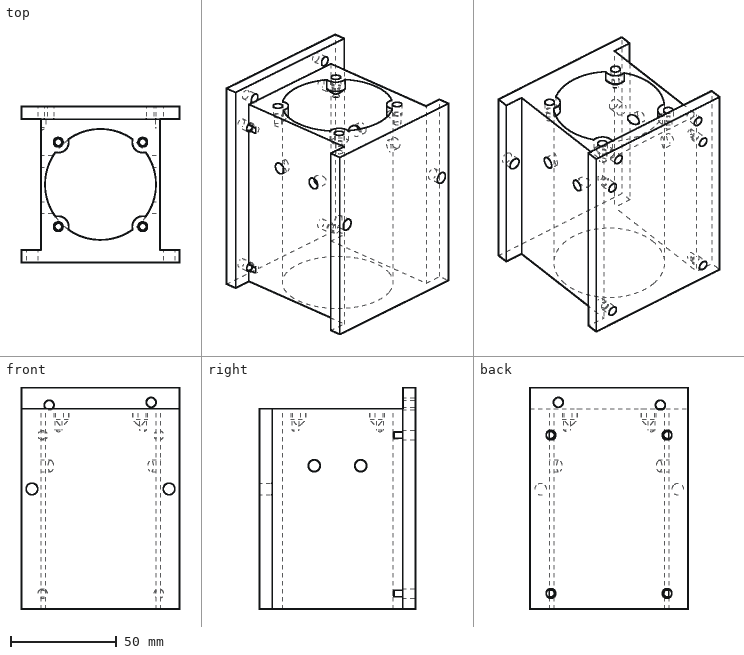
import cadquery as cq
import math

WIDTH = 75.0
DEPTH = 74.0
HEIGHT = 105.0

BORE_DIAMETER = 52.5
BOSS_DIAMETER = 10.0
BOSS_RADIUS = BOSS_DIAMETER / 2
BOSS_HEIGHT = 5.0
BOSS_SPACING = 40.0

PLATE_THICKNESS = 6.0
SIDE_WALL = 2.0
BLOCK_WIDTH = BORE_DIAMETER + 2 * SIDE_WALL
BLOCK_HEIGHT = 95.0
BLOCK_DEPTH = DEPTH - 2 * PLATE_THICKNESS
FRONT_FACE_Y = -DEPTH / 2
BLOCK_BACK_Y = DEPTH / 2 - PLATE_THICKNESS

TAP_DIAMETER = 3.3
DRILL_POINT_ANGLE = 118.0
BOSS_HOLE_DIAMETER = 4.5
BOSS_HOLE_DEPTH = BOSS_HEIGHT
BOSS_TAP_DEPTH = 10.0

CLEARANCE_DIAMETER = 4.5
BACK_SCREW_SPACING_X = 55.0
BACK_SCREW_HEIGHTS = (7.5, 82.5)
BACK_TAP_DEPTH = 4.0

BACK_MOUNT_DIAMETER = 4.5
BACK_MOUNT_POSITIONS = ((-24.35, 96.7), (24.0, 98.0))

FRONT_MOUNT_DIAMETER = 5.5
FRONT_MOUNT_SPACING = 65.0
FRONT_MOUNT_Z = 57.0

CROSS_HOLE_DIAMETER = 5.5
CROSS_HOLE_SPACING = 22.0
CROSS_HOLE_Z = 68.0

UP = cq.Vector(0, 0, 1)
DOWN = cq.Vector(0, 0, -1)
ALONG_X = cq.Vector(1, 0, 0)
FORWARD = cq.Vector(0, -1, 0)
BACKWARD = cq.Vector(0, 1, 0)


def cylinder(start, direction, diameter, length):
    """Cylinder that grows from a start point along a direction."""
    return cq.Workplane(cq.Solid.makeCylinder(diameter / 2, length, cq.Vector(*start), direction))


def drilled_hole(start, direction, diameter, depth):
    """Blind drilled hole: a straight part of the given depth and a conical tip."""
    radius = diameter / 2
    tip_height = radius / math.tan(math.radians(DRILL_POINT_ANGLE / 2))
    tip_base = cq.Vector(*start) + direction * depth
    tip = cq.Solid.makeCone(radius, 0, tip_height, tip_base, direction)
    return cylinder(start, direction, diameter, depth).union(cq.Workplane(tip))


def mirrored(spacing):
    """Two positions placed symmetrically about zero."""
    return (-spacing / 2, spacing / 2)


def standing_box(width, depth, height, center_y):
    """Box standing on Z = 0, centred on X = 0."""
    return cq.Workplane().box(width, depth, height, centered=(True, True, False)).translate((0, center_y, 0))


def make_body():
    """Block with a lower front plate and a taller back plate."""
    plate_center_y = (DEPTH - PLATE_THICKNESS) / 2
    block = standing_box(BLOCK_WIDTH, BLOCK_DEPTH, BLOCK_HEIGHT, 0)
    front_plate = standing_box(WIDTH, PLATE_THICKNESS, BLOCK_HEIGHT, -plate_center_y)
    back_plate = standing_box(WIDTH, PLATE_THICKNESS, HEIGHT, plate_center_y)
    return block.union(front_plate).union(back_plate)


def cut_bore(body):
    """Through bore, leaving four screw bosses at its top end that taper into the wall at 45 degrees."""
    bore = cylinder((0, 0, 0), UP, BORE_DIAMETER, BLOCK_HEIGHT)
    for x in mirrored(BOSS_SPACING):
        for y in mirrored(BOSS_SPACING):
            boss = cylinder((x, y, BLOCK_HEIGHT), DOWN, BOSS_DIAMETER, BOSS_HEIGHT)
            taper_top = cq.Vector(x, y, BLOCK_HEIGHT - BOSS_HEIGHT)
            taper = cq.Solid.makeCone(BOSS_RADIUS, 0, BOSS_RADIUS, taper_top, DOWN)
            bore = bore.cut(boss).cut(cq.Workplane(taper))
    return body.cut(bore)


def cut_boss_holes(body):
    """Stepped screw hole in each boss: a wide entry above a drilled tap hole."""
    for x in mirrored(BOSS_SPACING):
        for y in mirrored(BOSS_SPACING):
            top = (x, y, BLOCK_HEIGHT)
            body = body.cut(cylinder(top, DOWN, BOSS_HOLE_DIAMETER, BOSS_HOLE_DEPTH))
            body = body.cut(drilled_hole(top, DOWN, TAP_DIAMETER, BOSS_TAP_DEPTH))
    return body


def cut_back_screws(body):
    """Clearance holes in the back plate with tapped holes behind them in the block."""
    for x in mirrored(BACK_SCREW_SPACING_X):
        for z in BACK_SCREW_HEIGHTS:
            seat = (x, BLOCK_BACK_Y, z)
            body = body.cut(drilled_hole(seat, FORWARD, TAP_DIAMETER, BACK_TAP_DEPTH))
            body = body.cut(cylinder(seat, BACKWARD, CLEARANCE_DIAMETER, PLATE_THICKNESS))
    return body


def cut_mounting_holes(body):
    """Through holes of the back plate top strip and of the front plate ears."""
    for x, z in BACK_MOUNT_POSITIONS:
        start = (x, BLOCK_BACK_Y, z)
        body = body.cut(cylinder(start, BACKWARD, BACK_MOUNT_DIAMETER, PLATE_THICKNESS))
    for x in mirrored(FRONT_MOUNT_SPACING):
        start = (x, FRONT_FACE_Y, FRONT_MOUNT_Z)
        body = body.cut(cylinder(start, BACKWARD, FRONT_MOUNT_DIAMETER, PLATE_THICKNESS))
    return body


def cut_cross_holes(body):
    """Holes along X through both side walls of the block."""
    for y in mirrored(CROSS_HOLE_SPACING):
        start = (-BLOCK_WIDTH / 2, y, CROSS_HOLE_Z)
        body = body.cut(cylinder(start, ALONG_X, CROSS_HOLE_DIAMETER, BLOCK_WIDTH))
    return body


body = make_body()
body = cut_bore(body)
body = cut_boss_holes(body)
body = cut_back_screws(body)
body = cut_mounting_holes(body)
result = cut_cross_holes(body)